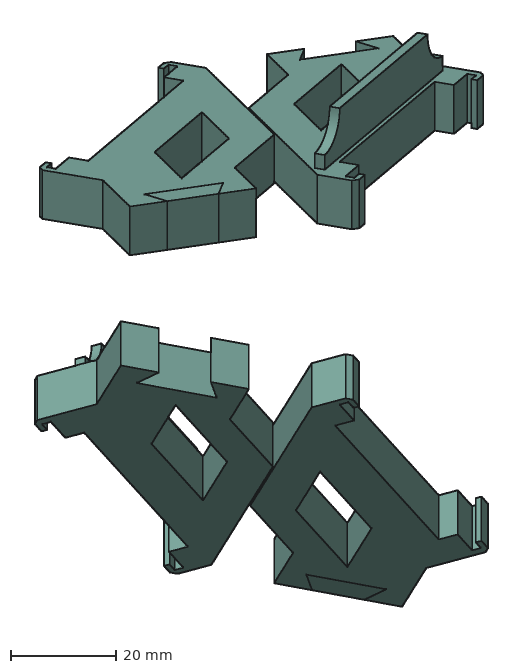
import cadquery as cq
import math


plate_thickness = 10.0
bracket_gap = 0.32
base_y = bracket_gap / 2
block_end_x = -31.4
block_width = 25.65
block_setback = 13.0
block_bottom_y = base_y + block_setback
block_top_y = block_bottom_y + block_width
block_mid_y = block_bottom_y + block_width / 2

clip_center = -9.53
clip_edge_out = 21.9
plate_depth = 26.85
back_edge_out = clip_edge_out - plate_depth
clip_half_length = 30.0
ear_half_length = 22.2
ear_height = 4.0
hook_wall = 1.6
hook_gap = 1.85
hook_lip = 1.2
hook_reach = 2.2
hook_chamfer = 1.07
ear_shift = 0.13
slot_half_length = clip_half_length - hook_wall
ear_out = clip_edge_out + ear_height
lip_inner_out = ear_out + hook_gap
hook_out = lip_inner_out + hook_lip

window_width = 14.25
window_height = 15.6
window_setback = 8.75
window_bottom_y = base_y + window_setback
window_corner_x = -5.95

dovetail_depth = 4.85
dovetail_inner_width = 16.0
dovetail_angle = 30.0

wall_length = 55.0
wall_thickness = 2.1
wall_edge_distance = 0.95
wall_height = 10.0
wall_corner_radius = 7.0
wall_center_shift = -0.4

ROOT2 = math.sqrt(2)


def clip_point(along, out):
    """Point beside the clip edge as plate coordinates (x, y)."""
    u = clip_center + along
    return (u + out) / ROOT2, (out - u) / ROOT2


def hook_points(side):
    """Outline of one ear and hook, from the outer face in to the clip edge; side is -1 or 1."""
    lip_end = slot_half_length - hook_reach
    outer_face = [
        (clip_half_length, hook_out - hook_chamfer),
        (clip_half_length - hook_chamfer, hook_out),
    ]
    inner_steps = [
        (lip_end, hook_out),
        (lip_end, lip_inner_out),
        (slot_half_length, lip_inner_out),
        (slot_half_length, ear_out),
        (ear_half_length, ear_out),
        (ear_half_length, clip_edge_out),
    ]
    return [
        *(clip_point(side * along, out) for along, out in outer_face),
        *(clip_point(side * along + ear_shift, out) for along, out in inner_steps),
    ]


def dovetail():
    """Dovetail prism that opens at the end face of the mounting block."""
    inner_half = dovetail_inner_width / 2
    opening_half = inner_half - dovetail_depth * math.tan(math.radians(dovetail_angle))
    inner_x = block_end_x + dovetail_depth
    return (
        cq.Workplane("XY")
        .polyline([
            (block_end_x, block_mid_y - opening_half),
            (inner_x, block_mid_y - inner_half),
            (inner_x, block_mid_y + inner_half),
            (block_end_x, block_mid_y + opening_half),
        ])
        .close()
        .extrude(plate_thickness)
    )


def window():
    """Parallelogram opening with two sides parallel to the clip edge."""
    top_y = window_bottom_y + window_height
    top_x = window_corner_x - window_height
    return (
        cq.Workplane("XY")
        .polyline([
            (window_corner_x, window_bottom_y),
            (window_corner_x + window_width, window_bottom_y),
            (top_x + window_width, top_y),
            (top_x, top_y),
        ])
        .close()
        .extrude(plate_thickness)
    )


def bracket():
    """Plate with clip hooks, window and dovetail notch."""
    left_end = (clip_center - clip_half_length) * ROOT2
    right_end = (clip_center + clip_half_length) * ROOT2
    back_edge = back_edge_out * ROOT2
    outline = [
        (block_end_x, block_bottom_y),
        (block_end_x, block_top_y),
        (block_top_y + left_end, block_top_y),
        *hook_points(-1),
        *reversed(hook_points(1)),
        (base_y + right_end, base_y),
        (back_edge - base_y, base_y),
        (back_edge - block_bottom_y, block_bottom_y),
    ]
    plate = cq.Workplane("XY").polyline(outline).close().extrude(plate_thickness)
    return plate.cut(window()).cut(dovetail())


def raised_wall():
    """Wall beside the clip edge, with a concave quarter round at both top corners."""
    half = wall_length / 2
    top_half = half - wall_corner_radius
    shoulder_height = wall_height - wall_corner_radius
    arc_offset = wall_corner_radius * math.sqrt(0.5)
    arc_mid = (half - arc_offset, wall_height - arc_offset)
    front_x, front_y = clip_point(wall_center_shift, clip_edge_out - wall_edge_distance)
    wall_plane = cq.Plane(
        origin=(front_x, front_y, plate_thickness),
        xDir=(1, -1, 0),
        normal=(-1, -1, 0),
    )
    return (
        cq.Workplane(wall_plane)
        .moveTo(-half, 0)
        .lineTo(half, 0)
        .lineTo(half, shoulder_height)
        .threePointArc(arc_mid, (top_half, wall_height))
        .lineTo(-top_half, wall_height)
        .threePointArc((-arc_mid[0], arc_mid[1]), (-half, shoulder_height))
        .close()
        .extrude(wall_thickness)
    )


def half_turn(body):
    return body.rotate((0, 0, 0), (0, 0, 1), 180)


walled_bracket = bracket().union(raised_wall())
plain_bracket = half_turn(bracket())
dovetail_key = half_turn(dovetail())

result = cq.Compound.makeCompound([walled_bracket.val(), plain_bracket.val(), dovetail_key.val()])